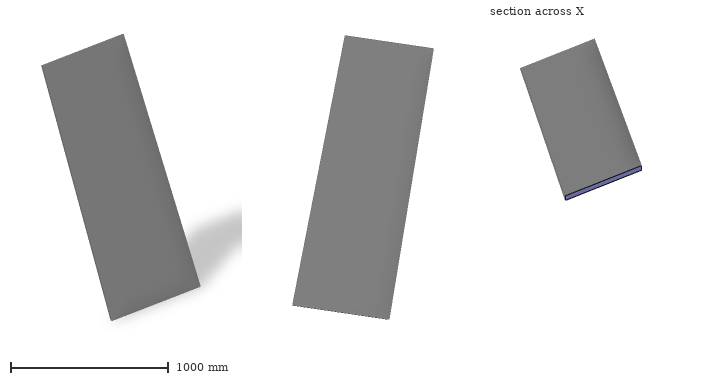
import cadquery as cq
import math

overall_x = 932.57
overall_y = 641.87
overall_z = 1491.91

thickness = 19.6
lean_angle = math.radians(58.29)
top_bevel = math.radians(5.7)
back_taper = 54.0

lean_slope = math.tan(lean_angle)

top_cut_angle = math.pi / 2 - lean_angle + top_bevel
top_cut_length = thickness / math.cos(top_bevel)
top_cut_run = top_cut_length * math.cos(top_cut_angle)
top_cut_rise = top_cut_length * math.sin(top_cut_angle)

underside_run = (overall_z - top_cut_rise) / lean_slope
upper_face_drop = (overall_x - top_cut_run) * lean_slope

underside_top = (0, overall_z - top_cut_rise)
upper_face_top = (top_cut_run, overall_z)
upper_face_foot = (overall_x, overall_z - upper_face_drop)
underside_foot = (underside_run, 0)


def leaning_slab():
    """Constant-width slab with the leaning profile, running from Y = 0 to the full width."""
    profile = [underside_top, upper_face_top, upper_face_foot, underside_foot]
    return cq.Workplane("XZ").polyline(profile).close().extrude(-overall_y)


def back_taper_cutter():
    """Wedge removed from the +Y edge, cut square to the faces of the panel."""
    along_panel = (math.cos(lean_angle), 0, -math.sin(lean_angle))
    out_of_panel = (math.sin(lean_angle), 0, math.cos(lean_angle))
    underside_plane = cq.Plane(
        origin=(underside_top[0], 0, underside_top[1]),
        xDir=along_panel,
        normal=out_of_panel,
    )
    foot_distance = underside_run / math.cos(lean_angle)
    overshoot = 2 * thickness
    taper_per_length = back_taper / foot_distance
    start_y = overall_y - back_taper - overshoot * taper_per_length
    wedge = [(-overshoot, start_y), (foot_distance, overall_y), (-overshoot, overall_y)]
    return cq.Workplane(underside_plane).polyline(wedge).close().extrude(overshoot, both=True)


result = leaning_slab().cut(back_taper_cutter())